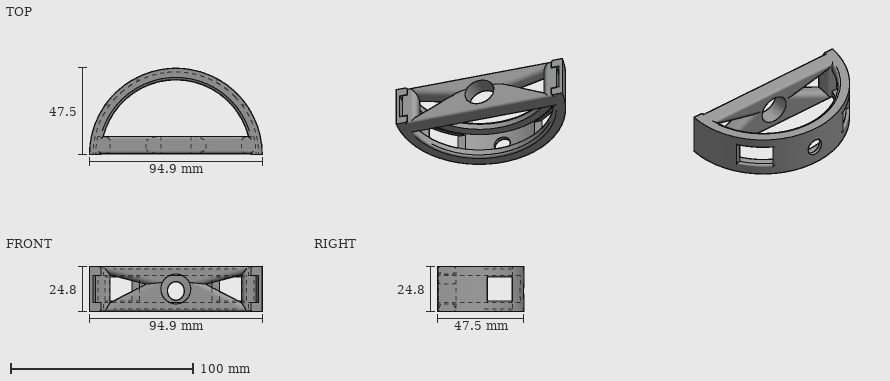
import cadquery as cq
import math

height = 24.8
outer_radius = 47.45
inner_radius = 41.0
rounding = 1.4

channel_height = 14.8
web_thickness = 2.0
slot_width = 1.5
channel_radius = outer_radius - web_thickness
slot_inner_radius = channel_radius - slot_width

beam_front = 0.5
beam_back = 10.0
beam_rear_rounding = 1.6
pad_inner_x = 41.1
pad_back = beam_front + rounding

bore_diameter = 16.4
truss_outer_x = 36.0
truss_top_z = 7.65
truss_bottom_z = -7.45
truss_tip = (16.4, 2.6)
truss_rounding = 3.1

window_front = 27.25
window_back = 40.9
window_height = 13.1
window_rounding = (channel_height - window_height) / 2
port_width = 9.1
port_height = 10.1
port_z = -1.1

match_tolerance = 0.01


def slab(x_min, x_max, y_min, y_max, z_size):
    """Box between the given X and Y limits, centred on z = 0."""
    box = cq.Workplane("XY").box(x_max - x_min, y_max - y_min, z_size)
    return box.translate(((x_min + x_max) / 2, (y_min + y_max) / 2, 0))


def disc(radius, z_size):
    """Cylinder on the Z axis, centred on z = 0, with its seam at -Y, clear of the part."""
    cylinder = cq.Workplane("XY").circle(radius).extrude(z_size).translate((0, 0, -z_size / 2))
    return cylinder.rotate((0, 0, 0), (0, 0, 1), -90)


def make_ring():
    """C-section half ring with rounded inner rims, starting behind the pads."""
    ring = disc(outer_radius, height).cut(disc(inner_radius, height))
    ring = ring.edges(cq.selectors.RadiusNthSelector(0)).fillet(rounding)
    ring = ring.cut(disc(channel_radius, channel_height))
    return ring.intersect(slab(-outer_radius, outer_radius, pad_back, outer_radius, height))


def cut_windows(ring):
    """One window per side, cut along X, with rounded long edges on the outside."""
    ring = ring.cut(slab(-outer_radius, outer_radius, window_front, window_back, window_height))

    def on_outer_sill(edge):
        point = edge.positionAt(0.5)
        on_sill = abs(abs(point.z) - window_height / 2) < match_tolerance
        return on_sill and abs(math.hypot(point.x, point.y) - outer_radius) < match_tolerance

    sills = [edge for edge in ring.edges().vals() if on_outer_sill(edge)]
    return ring.newObject(sills).fillet(window_rounding)


def cut_port(ring):
    """Oval port through the middle of the ring web."""
    port = cq.Workplane("XZ").center(0, port_z).ellipse(port_width / 2, port_height / 2)
    return ring.cut(port.extrude(-outer_radius))


def flared_side(corner, next_corner):
    """Bar covering the inner side of one triangle edge, flaring outward at both beam faces."""
    side_x = next_corner[0] - corner[0]
    side_z = next_corner[1] - corner[1]
    outward = cq.Vector(side_z, 0, -side_x).normalized()
    along = outward.cross(cq.Vector(0, 1, 0))
    plane = cq.Plane(origin=(corner[0], 0, corner[1]), xDir=outward, normal=along)
    arc_mid = truss_rounding * (1 - math.sqrt(0.5))
    profile = (
        cq.Workplane(plane)
        .moveTo(-outer_radius, beam_front)
        .lineTo(truss_rounding, beam_front)
        .threePointArc((arc_mid, beam_front + arc_mid), (0, beam_front + truss_rounding))
        .lineTo(0, beam_back - truss_rounding)
        .threePointArc((arc_mid, beam_back - arc_mid), (truss_rounding, beam_back))
        .lineTo(-outer_radius, beam_back)
        .close()
    )
    return profile.extrude(outer_radius, both=True)


def make_truss_opening():
    """Triangular opening at +X whose sides are rounded over at both faces of the beam."""
    top = (truss_outer_x, truss_top_z)
    bottom = (truss_outer_x, truss_bottom_z)
    opening = flared_side(bottom, top)
    opening = opening.intersect(flared_side(top, truss_tip))
    return opening.intersect(flared_side(truss_tip, bottom))


def make_beam():
    """Crossbeam with rounded long edges, ending at the slots."""
    beam = slab(-outer_radius, outer_radius, beam_front, beam_back, height)
    beam = beam.edges("|X and <Y").fillet(rounding)
    beam = beam.edges("|X and >Y").fillet(beam_rear_rounding)
    opening = make_truss_opening()
    beam = beam.cut(opening).cut(opening.mirror("YZ"))
    bore = cq.Workplane("XZ").circle(bore_diameter / 2).extrude(-2 * beam_back)
    beam = beam.cut(bore)
    return beam.intersect(disc(slot_inner_radius, height))


def make_pad(side):
    """End pad with rounded inner corners, recessed around the mouth of the slot."""
    pad = slab(pad_inner_x, outer_radius, 0, pad_back, height).edges("|Y and <X").fillet(rounding)
    pad = pad.intersect(disc(outer_radius, height))
    pad = pad.cut(disc(channel_radius, channel_height))
    return pad if side > 0 else pad.mirror("YZ")


ring = cut_port(cut_windows(make_ring()))
result = ring.union(make_beam())
for side in (-1, 1):
    result = result.union(make_pad(side))